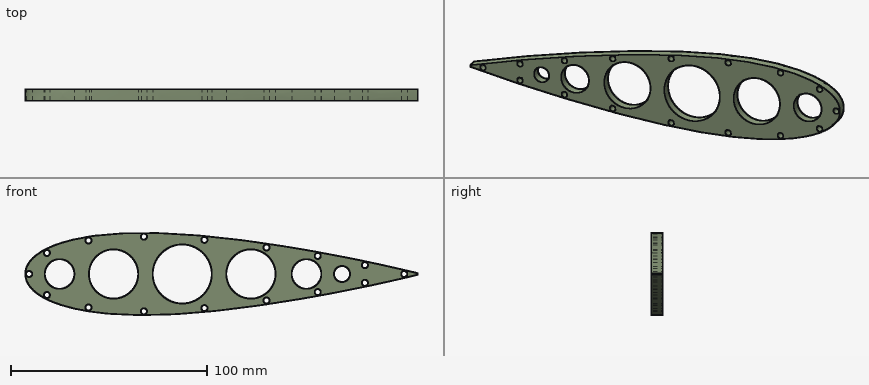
import cadquery as cq
import math

CHORD = 200.0
RIB_THICKNESS = 6.0
THICKNESS_RATIO = 0.21
POINTS_PER_SIDE = 30

ROOT_COEFFICIENT = 0.2969
POWER_COEFFICIENTS = (-0.1260, -0.3516, 0.2843, -0.1015)
HALF_THICKNESS_FACTOR = 5.0

LIGHTENING_HOLES = (
    (17.5, 15.0),
    (45.0, 25.0),
    (80.0, 30.0),
    (115.0, 25.0),
    (143.3, 15.0),
    (161.4, 8.04),
)

RIM_HOLE_DIAMETER = 3.0
RIM_INSET = 2.0
RIM_STATIONS = (10.1, 31.9, 60.5, 91.5, 123.2, 149.4, 173.5)
NOSE_HOLE_X = RIM_INSET
TAIL_HOLE_X = 193.1


def half_thickness(x):
    """Height of the outline above the chord line at distance x from the leading edge."""
    u = x / CHORD
    shape = ROOT_COEFFICIENT * math.sqrt(u)
    for power, coefficient in enumerate(POWER_COEFFICIENTS, start=1):
        shape += coefficient * u**power
    return HALF_THICKNESS_FACTOR * THICKNESS_RATIO * CHORD * shape


def outline_slope(x):
    """Slope of the upper outline at distance x from the leading edge."""
    u = x / CHORD
    shape = ROOT_COEFFICIENT / (2 * math.sqrt(u))
    for power, coefficient in enumerate(POWER_COEFFICIENTS, start=1):
        shape += power * coefficient * u ** (power - 1)
    return HALF_THICKNESS_FACTOR * THICKNESS_RATIO * shape


def outline_points():
    """Points from the tail over the top, around the nose and back along the bottom."""
    points = []
    for i in range(-POINTS_PER_SIDE, POINTS_PER_SIDE + 1):
        x = CHORD * (1 - math.cos(math.pi * i / POINTS_PER_SIDE)) / 2
        side = -1 if i > 0 else 1
        points.append((x, side * half_thickness(x)))
    return points


def rim_hole_centers():
    """Centres set inward from the outline along its normal, on both sides of the chord line."""
    centers = [(NOSE_HOLE_X, 0.0), (TAIL_HOLE_X, 0.0)]
    for station in RIM_STATIONS:
        angle = math.atan(outline_slope(station))
        x = station + RIM_INSET * math.sin(angle)
        z = half_thickness(station) - RIM_INSET * math.cos(angle)
        centers.append((x, z))
        centers.append((x, -z))
    return centers


def back_face_sketch():
    """XZ workplane on the back face (+Y) of the rib, with extrusion running toward -Y."""
    return cq.Workplane("XZ", origin=(0, RIB_THICKNESS / 2, 0))


def hole_cutters(centers, diameter):
    """Round cutters running right through the rib."""
    circles = back_face_sketch().pushPoints(centers).circle(diameter / 2)
    return circles.extrude(RIB_THICKNESS)


def rib_blank():
    """Solid airfoil plate centred on Y = 0; closing the spline forms the blunt trailing edge."""
    outline = back_face_sketch().spline(outline_points()).close()
    return outline.extrude(RIB_THICKNESS)


result = rib_blank()
for hole_x, hole_diameter in LIGHTENING_HOLES:
    result = result.cut(hole_cutters([(hole_x, 0.0)], hole_diameter))
result = result.cut(hole_cutters(rim_hole_centers(), RIM_HOLE_DIAMETER))